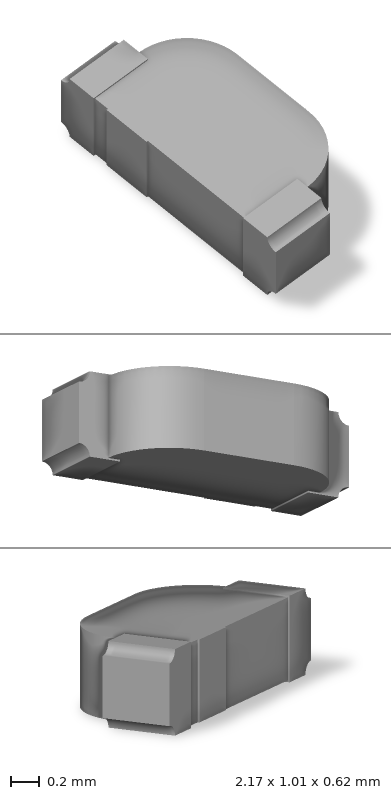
import cadquery as cq

overall_length = 2.17
overall_depth = 1.01
overall_height = 0.62

terminal_length = 0.33
terminal_depth = 0.52
notch_radius = 0.087

block_inset = 0.013
block_length = overall_length - 2 * terminal_length
block_depth = terminal_depth - 2 * block_inset
block_height = overall_height - 2 * block_inset

mark_offset = 0.46
mark_length = 0.405

lens_length = 1.7
lens_corner_radius = overall_depth - terminal_depth


def box_from(x_start, y_start, length, depth, height):
    """Box centred in Z, with its left front edge at the given X and Y."""
    return (
        cq.Workplane("XY")
        .box(length, depth, height, centered=(False, False, True))
        .translate((x_start, y_start, 0))
    )


def make_housing():
    """Central block with its end terminals and polarity mark, front face at Y = 0."""
    left_end = -overall_length / 2
    right_terminal_start = overall_length / 2 - terminal_length

    housing = box_from(-block_length / 2, block_inset, block_length, block_depth, block_height)
    for x_start in (left_end, right_terminal_start):
        housing = housing.union(
            box_from(x_start, 0, terminal_length, terminal_depth, overall_height)
        )

    mark = box_from(left_end + mark_offset, 0, mark_length, block_inset, block_height)
    housing = housing.union(mark)

    notches = (
        cq.Workplane("XZ")
        .rect(overall_length, overall_height, forConstruction=True)
        .vertices()
        .circle(notch_radius)
        .extrude(-terminal_depth)
    )
    return housing.cut(notches)


def make_lens():
    """Rounded lens behind the terminals, with a tongue that fits between them."""
    half_length = lens_length / 2
    half_flat = half_length - lens_corner_radius
    dome = (
        cq.Workplane("XY")
        .moveTo(-half_length, terminal_depth)
        .radiusArc((-half_flat, overall_depth), lens_corner_radius)
        .lineTo(half_flat, overall_depth)
        .radiusArc((half_length, terminal_depth), lens_corner_radius)
        .close()
        .extrude(block_height / 2, both=True)
    )
    tongue = box_from(
        -block_length / 2, terminal_depth - block_inset, block_length, block_inset, block_height
    )
    return dome.union(tongue)


housing = make_housing()
lens = make_lens()

result = cq.Compound.makeCompound([housing.val(), lens.val()])